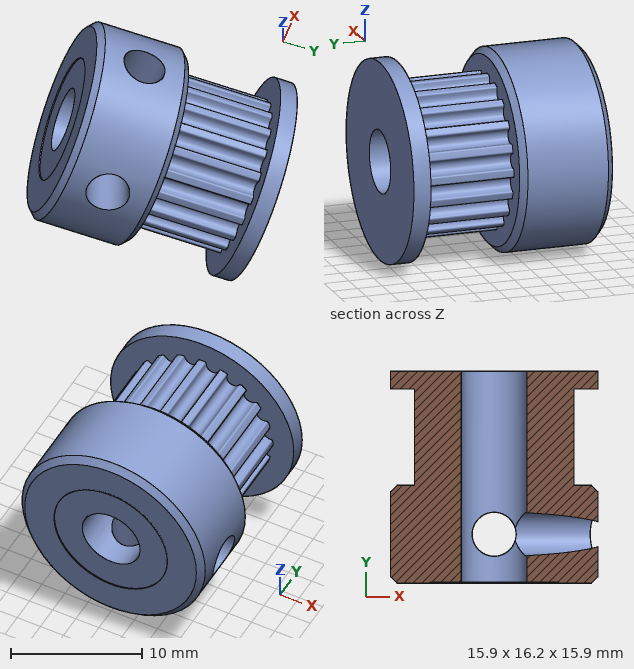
import cadquery as cq
import math

length = 16.21
outer_diameter = 15.85
hub_length = 7.5
hub_chamfer = 0.5
flange_thickness = 1.38
bore_diameter = 5.0

recess_diameter = 9.79
recess_depth = 0.1

screw_diameter = 3.34
screw_angles = (-90.0, -10.0)

tooth_count = 20
tooth_tip_diameter = 12.22
groove_depth = 0.75
groove_bottom_radius = 0.55
groove_side_radius = 1.0
groove_side_offset = 0.4
tip_fillet = 0.15

front_y = -length / 2
hub_back_y = front_y + hub_length
flange_front_y = length / 2 - flange_thickness
belt_length = flange_front_y - hub_back_y
tip_radius = tooth_tip_diameter / 2
pitch_angle = 2 * math.pi / tooth_count


def cylinder(diameter, start_y, height):
    """Solid cylinder on the Y axis, running towards +Y from start_y."""
    plane = cq.Workplane("XZ", origin=(0, start_y, 0))
    return plane.circle(diameter / 2).extrude(-height)


def on_circle(centre, radius, angle):
    """Point on a circle in the XZ plane, with the angle in radians from +X towards +Z."""
    return centre[0] + radius * math.cos(angle), centre[1] + radius * math.sin(angle)


def turned(point, angle):
    """Point turned about the bore axis, from +X towards +Z."""
    x, z = point
    return (
        x * math.cos(angle) - z * math.sin(angle),
        x * math.sin(angle) + z * math.cos(angle),
    )


def groove_points():
    """Points along one groove at the top (+Z), from its +X corner to its -X corner.

    A round bottom runs tangentially into a flatter arc on each side, whose centre
    lies beyond the middle of the groove.
    """
    bottom = (0, tip_radius - groove_depth)
    bottom_centre = (0, bottom[1] + groove_bottom_radius)
    centre_distance = groove_side_radius - groove_bottom_radius
    tangent_angle = -math.acos(groove_side_offset / centre_distance)
    side_centre = on_circle(bottom_centre, -centre_distance, tangent_angle)

    side_centre_distance = math.hypot(*side_centre)
    corner_turn = math.acos(
        (tip_radius**2 + side_centre_distance**2 - groove_side_radius**2)
        / (2 * tip_radius * side_centre_distance)
    )
    side_centre_angle = math.atan2(side_centre[1], side_centre[0])
    corner = on_circle((0, 0), tip_radius, side_centre_angle - corner_turn)
    corner_angle = math.atan2(corner[1] - side_centre[1], corner[0] - side_centre[0])

    side_middle = on_circle(side_centre, groove_side_radius, (corner_angle + tangent_angle) / 2)
    tangent = on_circle(bottom_centre, groove_bottom_radius, tangent_angle)
    right_half = [corner, side_middle, tangent]
    left_half = [(-x, z) for x, z in reversed(right_half)]
    return right_half + [bottom] + left_half


def toothed_belt_section():
    """Ring of teeth with rounded tips; one tooth is centred on +X."""
    groove = groove_points()
    land_middle = on_circle((0, 0), tip_radius, (math.pi + pitch_angle) / 2)
    first_turn = pitch_angle / 2
    profile = cq.Workplane("XZ", origin=(0, hub_back_y, 0)).moveTo(*turned(groove[0], first_turn))
    for index in range(tooth_count):
        turn = first_turn + index * pitch_angle
        corner, side, tangent, bottom, far_tangent, far_side, far_corner = (
            turned(point, turn) for point in groove
        )
        next_corner = turned(groove[0], turn + pitch_angle)
        profile = (
            profile.threePointArc(side, tangent)
            .threePointArc(bottom, far_tangent)
            .threePointArc(far_side, far_corner)
            .threePointArc(turned(land_middle, turn), next_corner)
        )
    section = profile.close().extrude(-belt_length)

    def is_tooth_corner(edge):
        centre = edge.Center()
        return math.isclose(math.hypot(centre.x, centre.z), tip_radius, rel_tol=1e-4)

    return section.edges("|Y").filter(is_tooth_corner).fillet(tip_fillet)


def screw_hole(angle):
    """Radial hole from the bore axis outwards, midway along the hub."""
    direction_x, direction_z = on_circle((0, 0), 1, math.radians(angle))
    direction = cq.Vector(direction_x, 0, direction_z)
    start = cq.Vector(0, front_y + hub_length / 2, 0)
    return cq.Solid.makeCylinder(screw_diameter / 2, outer_diameter, start, direction)


hub = cylinder(outer_diameter, front_y, hub_length)
hub = hub.faces("<Y or >Y").chamfer(hub_chamfer)
flange = cylinder(outer_diameter, flange_front_y, flange_thickness)

result = hub.union(toothed_belt_section()).union(flange)
result = result.cut(cylinder(bore_diameter, front_y, length))
result = result.cut(cylinder(recess_diameter, front_y, recess_depth))
for screw_angle in screw_angles:
    result = result.cut(screw_hole(screw_angle))